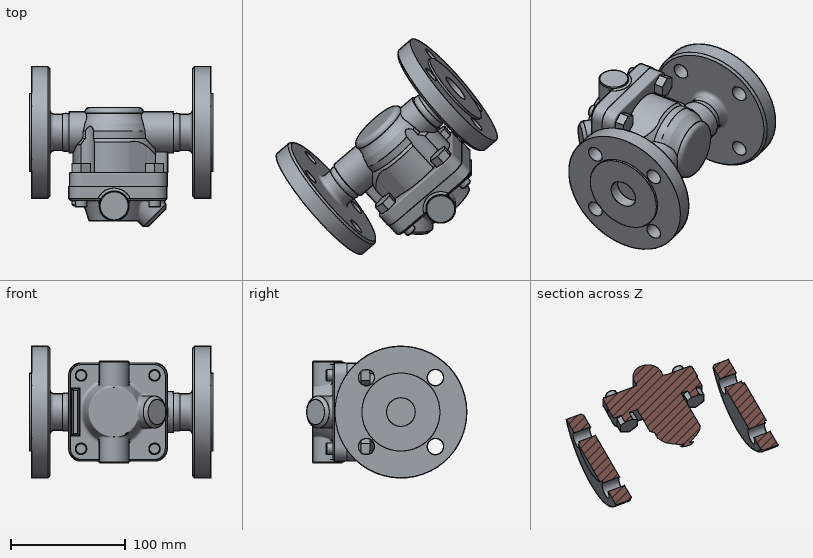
import cadquery as cq
import math


JOINT_TOLERANCE = 0.1

LENGTH = 160.0
FLANGE_RADIUS = 115.0 / 2
FLANGE_THICKNESS = 18.0
FLANGE_CHAMFER = 2.0
RAISED_FACE_RADIUS = 68.0 / 2
RAISED_FACE_HEIGHT = 2.0
FLANGE_BOLT_CIRCLE = 85.0
FLANGE_BOLT_HOLE = 14.0
FLANGE_BOLT_COUNT = 4
FLANGE_BOLT_START_ANGLE = 45.0
NECK_RADIUS = 32.0 / 2
NECK_FILLET = 3.75
BORE_DIAMETER = 25.0
BORE_DEPTH = 10.5
PIPE_RADIUS = 36.0 / 2
PIPE_HALF_LENGTH = 45.5
BEAD_END = 51.4
BEAD_BULGE = 0.7

AXIS_X = -6.2
BODY_BACK = 21.8
CAP_RADIUS = 25.9
CAP_EDGE_RADIUS = 5.0
CAP_BASE = 16.5
CAP_GROOVE_RADIUS = 25.2
SHOULDER_BACK = 13.2
SHOULDER_BACK_RADIUS = 26.8
SHOULDER_MIDDLE = 7.7
SHOULDER_MIDDLE_RADIUS = 30.3
SHOULDER_FRONT = 1.0
SHOULDER_RADIUS = 32.5
SHOULDER_END = -5.5
CASING_RADIUS = 34.0
CASING_HALF_WIDTH = 36.0
CASING_ARC_END = -18.0
CASING_FACET_START = 13.6
CASING_FACET_SLOPE = math.tan(math.radians(31.0))
CASING_TAPER_SLOPE = 0.55

PLATE_X = -3.0
COVER_PLATE_SIZE = 85.7
BODY_PLATE_SIZE = 85.4
PLATE_CORNER_RADIUS = 11.0
BODY_PLATE_EDGE_RADIUS = 1.2
PLATE_EDGE_CHAMFER = 1.5
BODY_PLATE_SHIFT = 0.5
BODY_PLATE_BACK = -35.0
PARTING_FACE = -47.0
COVER_FACE = -59.2

BOLT_OFFSET = 32.0
BOLT_DIAMETER = 10.0
BOLT_TIP = -65.2
BOLT_HEAD_HEIGHT = 8.0
BOLT_HEAD_FLATS = 16.0
BOLT_TIP_CHAMFER = 0.6
HEAD_CLEARANCE_RADIUS = 12.0
HEAD_CLEARANCE_END = 12.0

DOME_FACE = -77.0
DOME_BASE_RADIUS = 28.0
DOME_FACE_RADIUS = 22.0
DOME_FILLET = 3.4
DOME_EDGE_RADIUS = 0.8
VERTICAL_BOSS_RADIUS = 13.0
VERTICAL_BOSS_Y = DOME_FACE + VERTICAL_BOSS_RADIUS
VERTICAL_BOSS_HALF_HEIGHT = 44.5
VERTICAL_BOSS_FILLET = 1.6
VERTICAL_BOSS_DOME_FILLET = 1.5
VERTICAL_BOSS_END_FLARE = 2.4
VERTICAL_BOSS_CHAMFER = 0.8
SLANT_BOSS_RADIUS = 14.0
SLANT_BOSS_CHAMFER = 3.0
SLANT_BOSS_FILLET = 2.0
SLANT_BOSS_LENGTH = 32.0
SLANT_FACE_CENTER = (31.2, -74.43)

PAD_LEFT = -43.1
PAD_WIDTH = 6.4
PAD_LENGTH = 40.4
PAD_HEIGHT = 5.0
PAD_CHAMFER = 1.5
PAD_FOOT = 0.7
PAD_FOOT_CHAMFER = 0.6
RIB_LEFT = 20.0
RIB_RIGHT = 40.6
RIB_THICKNESS = 12.0
RIB_CORNER_RADIUS = 3.0


def xz_plane(y, x=0.0):
    """Sketch plane at height y, facing -Y, with local x along X and local y along Z."""
    return cq.Workplane("XZ", origin=(x, y, 0))


def flanged_pipe():
    """Half of the pipe profile revolved about X, then mirrored."""
    face = LENGTH / 2
    rim = face - RAISED_FACE_HEIGHT
    flange_back = face - FLANGE_THICKNESS
    bead_middle = (PIPE_HALF_LENGTH + BEAD_END) / 2
    fillet_center = (flange_back - NECK_FILLET, NECK_RADIUS + NECK_FILLET)
    fillet_reach = NECK_FILLET * math.sqrt(0.5)
    half = (
        cq.Workplane("XY")
        .lineTo(0, PIPE_RADIUS)
        .lineTo(PIPE_HALF_LENGTH, PIPE_RADIUS)
        .lineTo(PIPE_HALF_LENGTH, NECK_RADIUS)
        .threePointArc((bead_middle, NECK_RADIUS + BEAD_BULGE), (BEAD_END, NECK_RADIUS))
        .lineTo(fillet_center[0], NECK_RADIUS)
        .threePointArc(
            (fillet_center[0] + fillet_reach, fillet_center[1] - fillet_reach),
            (flange_back, fillet_center[1]),
        )
        .lineTo(flange_back, FLANGE_RADIUS - FLANGE_CHAMFER)
        .lineTo(flange_back + FLANGE_CHAMFER, FLANGE_RADIUS)
        .lineTo(rim, FLANGE_RADIUS)
        .lineTo(rim, RAISED_FACE_RADIUS)
        .lineTo(face, RAISED_FACE_RADIUS)
        .lineTo(face, 0)
        .close()
        .revolve(360, (0, 0, 0), (1, 0, 0))
    )
    bolt_holes = (
        cq.Workplane("YZ", origin=(flange_back, 0, 0))
        .polarArray(FLANGE_BOLT_CIRCLE / 2, FLANGE_BOLT_START_ANGLE, 360, FLANGE_BOLT_COUNT)
        .circle(FLANGE_BOLT_HOLE / 2)
        .extrude(FLANGE_THICKNESS)
    )
    bore = (
        cq.Workplane("YZ", origin=(face, 0, 0))
        .circle(BORE_DIAMETER / 2)
        .extrude(-BORE_DEPTH)
    )
    half = half.cut(bolt_holes).cut(bore)
    return half.union(half.mirror("YZ"))


def body_shoulder():
    """Rounded cap and tapering shoulder revolved about the body axis."""
    edge_center = (CAP_RADIUS - CAP_EDGE_RADIUS, BODY_BACK - CAP_EDGE_RADIUS)
    edge_reach = CAP_EDGE_RADIUS * math.sqrt(0.5)
    return (
        cq.Workplane("XY", origin=(AXIS_X, 0, 0))
        .moveTo(0, BODY_BACK)
        .lineTo(edge_center[0], BODY_BACK)
        .threePointArc(
            (edge_center[0] + edge_reach, edge_center[1] + edge_reach),
            (CAP_RADIUS, edge_center[1]),
        )
        .lineTo(CAP_GROOVE_RADIUS, CAP_BASE)
        .lineTo(SHOULDER_BACK_RADIUS, SHOULDER_BACK)
        .lineTo(SHOULDER_MIDDLE_RADIUS, SHOULDER_MIDDLE)
        .lineTo(SHOULDER_RADIUS, SHOULDER_FRONT)
        .lineTo(SHOULDER_RADIUS, SHOULDER_END)
        .lineTo(0, SHOULDER_END)
        .close()
        .revolve(360, (0, 0, 0), (0, 1, 0))
    )


def casing():
    """Rounded prism with two facets and a flat on the +X side, narrowed by a cone at the shoulder."""
    facet_z = math.sqrt(CASING_RADIUS**2 - CASING_FACET_START**2)
    side_x = CASING_HALF_WIDTH
    side_z = facet_z - (side_x - CASING_FACET_START) * CASING_FACET_SLOPE
    arc_end_z = math.sqrt(CASING_RADIUS**2 - CASING_ARC_END**2)
    length = SHOULDER_END - BODY_PLATE_BACK
    prism = (
        xz_plane(SHOULDER_END, AXIS_X)
        .moveTo(CASING_ARC_END, arc_end_z)
        .threePointArc((0, CASING_RADIUS), (CASING_FACET_START, facet_z))
        .lineTo(side_x, side_z)
        .lineTo(side_x, -side_z)
        .lineTo(CASING_FACET_START, -facet_z)
        .threePointArc((0, -CASING_RADIUS), (CASING_ARC_END, -arc_end_z))
        .threePointArc((-side_x, 0), (CASING_ARC_END, arc_end_z))
        .close()
        .extrude(length)
    )
    taper = (
        cq.Workplane("XY", origin=(AXIS_X, 0, 0))
        .moveTo(0, SHOULDER_END)
        .lineTo(SHOULDER_RADIUS, SHOULDER_END)
        .lineTo(SHOULDER_RADIUS + length * CASING_TAPER_SLOPE, BODY_PLATE_BACK)
        .lineTo(0, BODY_PLATE_BACK)
        .close()
        .revolve(360, (0, 0, 0), (0, 1, 0))
    )
    return prism.intersect(taper)


def at_cover_bolts(y):
    """Workplane at height y with one point on each cover bolt axis."""
    return xz_plane(y, PLATE_X).rect(2 * BOLT_OFFSET, 2 * BOLT_OFFSET, forConstruction=True).vertices()


def head_clearances():
    """Upright scoops in the body that clear the bolt heads."""
    return (
        at_cover_bolts(HEAD_CLEARANCE_END)
        .circle(HEAD_CLEARANCE_RADIUS)
        .extrude(HEAD_CLEARANCE_END - BODY_PLATE_BACK)
    )


def plate(size, center_x, back, front):
    """Square plate with rounded corners between two Y positions."""
    return (
        xz_plane(back, center_x)
        .rect(size, size)
        .extrude(back - front)
        .edges("|Y")
        .fillet(PLATE_CORNER_RADIUS)
    )


def body_plate():
    """Plate on the body side, with a rounded back edge."""
    square = plate(BODY_PLATE_SIZE, PLATE_X + BODY_PLATE_SHIFT, BODY_PLATE_BACK, PARTING_FACE)
    return square.faces(">Y").edges().fillet(BODY_PLATE_EDGE_RADIUS)


def rib():
    """Rib that joins the +X end of the pipe to the body plate."""
    return (
        cq.Workplane("XY")
        .moveTo(RIB_LEFT, 0)
        .lineTo(RIB_RIGHT, 0)
        .lineTo(RIB_RIGHT, BODY_PLATE_BACK)
        .lineTo(RIB_LEFT, BODY_PLATE_BACK)
        .close()
        .extrude(RIB_THICKNESS / 2, both=True)
        .edges("|Y and >X")
        .fillet(RIB_CORNER_RADIUS)
    )


def dome():
    """Conical dome of the cover with a rounded face edge."""
    cone = (
        cq.Workplane("XY", origin=(AXIS_X, 0, 0))
        .moveTo(0, PARTING_FACE)
        .lineTo(DOME_BASE_RADIUS, PARTING_FACE)
        .lineTo(DOME_BASE_RADIUS, COVER_FACE)
        .lineTo(DOME_FACE_RADIUS, DOME_FACE)
        .lineTo(0, DOME_FACE)
        .close()
        .revolve(360, (0, 0, 0), (0, 1, 0))
    )
    return cone.faces("<Y").edges().fillet(DOME_EDGE_RADIUS)


def upright_bosses():
    """One round bar along Z that forms the boss above and the boss below the dome."""
    return (
        cq.Workplane("XY", origin=(AXIS_X, VERTICAL_BOSS_Y, 0))
        .circle(VERTICAL_BOSS_RADIUS)
        .extrude(VERTICAL_BOSS_HALF_HEIGHT, both=True)
        .faces("|Z")
        .chamfer(VERTICAL_BOSS_CHAMFER)
    )


def boss_plate_fillets():
    """Fillets along both sides of the upright bosses and sloped flares at the plate edges."""
    half_height = COVER_PLATE_SIZE / 2
    reach = VERTICAL_BOSS_RADIUS + VERTICAL_BOSS_FILLET
    offset_y = COVER_FACE - VERTICAL_BOSS_FILLET - VERTICAL_BOSS_Y
    offset_x = math.sqrt(reach**2 - offset_y**2)
    center_y = VERTICAL_BOSS_Y + offset_y
    touch_x = offset_x * VERTICAL_BOSS_RADIUS / reach
    touch_y = VERTICAL_BOSS_Y + offset_y * VERTICAL_BOSS_RADIUS / reach
    boss_angle = math.atan2(-offset_y, -offset_x)
    plate_angle = math.pi / 2 - 2 * math.pi
    middle_angle = (boss_angle + plate_angle) / 2
    arc_x = offset_x + VERTICAL_BOSS_FILLET * math.cos(middle_angle)
    arc_y = center_y + VERTICAL_BOSS_FILLET * math.sin(middle_angle)
    sides = (
        cq.Workplane("XY", origin=(AXIS_X, 0, 0))
        .moveTo(-offset_x, COVER_FACE)
        .threePointArc((-arc_x, arc_y), (-touch_x, touch_y))
        .lineTo(0, VERTICAL_BOSS_Y)
        .lineTo(touch_x, touch_y)
        .threePointArc((arc_x, arc_y), (offset_x, COVER_FACE))
        .close()
        .extrude(half_height - PLATE_EDGE_CHAMFER, both=True)
    )
    flare_top = VERTICAL_BOSS_HALF_HEIGHT - VERTICAL_BOSS_CHAMFER
    flare = (
        cq.Workplane("XZ", origin=(AXIS_X, VERTICAL_BOSS_Y, 0))
        .lineTo(VERTICAL_BOSS_RADIUS + VERTICAL_BOSS_END_FLARE, 0)
        .lineTo(VERTICAL_BOSS_RADIUS + VERTICAL_BOSS_END_FLARE, half_height)
        .lineTo(VERTICAL_BOSS_RADIUS, flare_top)
        .lineTo(0, flare_top)
        .close()
        .revolve(360, (0, 0, 0), (0, 1, 0))
    )
    behind_chamfer = (
        xz_plane(PARTING_FACE, PLATE_X)
        .rect(COVER_PLATE_SIZE, 2 * VERTICAL_BOSS_HALF_HEIGHT)
        .extrude(PARTING_FACE - COVER_FACE - PLATE_EDGE_CHAMFER)
    )
    ends = flare.union(flare.mirror("XY")).intersect(behind_chamfer)
    return sides.union(ends)


def joint_curves(joined, first, second):
    """Curved edges of a union that neither of its two parts had."""
    old_centers = [edge.Center() for part in (first, second) for edge in part.edges().vals()]
    return [
        edge
        for edge in joined.edges("not %LINE").vals()
        if all((edge.Center() - center).Length > JOINT_TOLERANCE for center in old_centers)
    ]


def filleted_union(first, second, radius):
    """Union of two parts with a fillet along the curves where they meet."""
    joined = first.union(second)
    return cq.Workplane(joined.val().fillet(radius, joint_curves(joined, first, second)))


def slanted_boss():
    """Boss whose axis runs at 45 degrees between +X and -Y."""
    face_x, face_y = SLANT_FACE_CENTER
    face_plane = cq.Plane(origin=(face_x, face_y, 0), xDir=(0, 0, 1), normal=(1, -1, 0))
    boss = (
        cq.Workplane(face_plane)
        .circle(SLANT_BOSS_RADIUS)
        .extrude(-SLANT_BOSS_LENGTH)
        .faces(cq.DirectionMinMaxSelector(cq.Vector(1, -1, 0), True))
        .chamfer(SLANT_BOSS_CHAMFER)
    )
    in_front_of_parting = (
        xz_plane(PARTING_FACE, PLATE_X)
        .rect(COVER_PLATE_SIZE, COVER_PLATE_SIZE)
        .extrude(COVER_PLATE_SIZE)
    )
    return boss.intersect(in_front_of_parting)


def cover():
    """Cover plate with its dome, upright bosses and slanted boss."""
    cover_plate = (
        plate(COVER_PLATE_SIZE, PLATE_X, PARTING_FACE, COVER_FACE)
        .faces("<Y")
        .chamfer(PLATE_EDGE_CHAMFER)
    )
    domed_plate = cover_plate.union(dome())
    base_zone = cq.selectors.BoxSelector(
        (AXIS_X - DOME_BASE_RADIUS, COVER_FACE - DOME_EDGE_RADIUS, -DOME_BASE_RADIUS),
        (AXIS_X + DOME_BASE_RADIUS, COVER_FACE + DOME_EDGE_RADIUS, DOME_BASE_RADIUS),
    )
    domed_plate = domed_plate.edges(base_zone).edges("%CIRCLE").fillet(DOME_FILLET)
    slanted = filleted_union(domed_plate, slanted_boss(), SLANT_BOSS_FILLET)
    upright = filleted_union(dome(), upright_bosses(), VERTICAL_BOSS_DOME_FILLET)
    return slanted.union(upright).union(boss_plate_fillets())


def name_pad():
    """Long bevelled pad beside the dome, on a slightly wider foot."""
    center_x = PAD_LEFT + PAD_WIDTH / 2
    ridge = (
        xz_plane(COVER_FACE, center_x)
        .rect(PAD_WIDTH, PAD_LENGTH)
        .extrude(PAD_HEIGHT)
        .faces("<Y")
        .chamfer(PAD_CHAMFER)
    )
    foot = (
        xz_plane(COVER_FACE, center_x)
        .rect(PAD_WIDTH + 2 * PAD_FOOT, PAD_LENGTH + 2 * PAD_FOOT)
        .extrude(PAD_FOOT)
        .faces("<Y")
        .chamfer(PAD_FOOT_CHAMFER)
    )
    return ridge.union(foot)


def cover_bolts():
    """Bolt heads behind the body plate and bolt tips in front of the cover."""
    corner_diameter = BOLT_HEAD_FLATS / math.cos(math.radians(30))
    tips = (
        at_cover_bolts(BODY_PLATE_BACK)
        .circle(BOLT_DIAMETER / 2)
        .extrude(BODY_PLATE_BACK - BOLT_TIP)
        .faces("<Y")
        .chamfer(BOLT_TIP_CHAMFER)
    )
    heads = (
        xz_plane(BODY_PLATE_BACK, PLATE_X)
        .transformed(rotate=(0, 0, 90))
        .rect(2 * BOLT_OFFSET, 2 * BOLT_OFFSET, forConstruction=True)
        .vertices()
        .polygon(6, corner_diameter)
        .extrude(-BOLT_HEAD_HEIGHT)
    )
    return tips.union(heads)


body = body_shoulder().union(casing()).cut(head_clearances())
result = (
    flanged_pipe()
    .union(body)
    .union(rib())
    .union(body_plate())
    .union(cover())
    .union(name_pad())
    .union(cover_bolts())
)